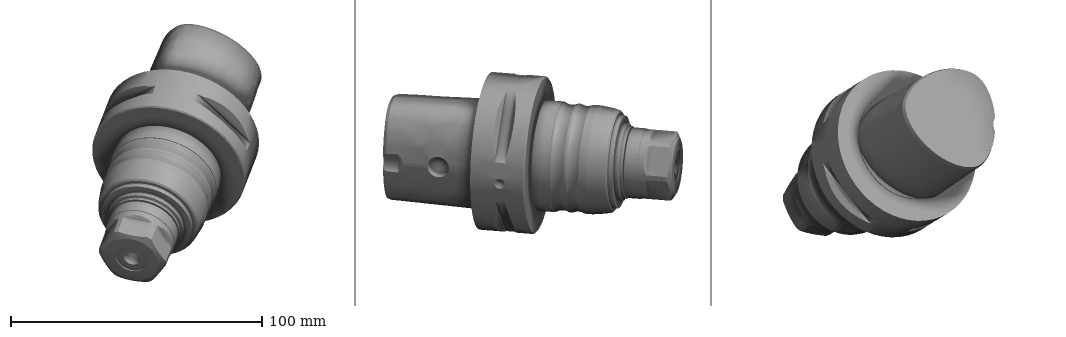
import cadquery as cq
import math


SHANK_LENGTH = 38.0
POLYGON_RADIUS = 22.0
ECCENTRICITY = 1.41
LOBES = 3
OUTLINE_POINTS = 72
TAPER_SLOPE = 1 / 40
TAPER_START = 2.9
LAND_LENGTH = 0.9
NECK_INSET = 0.25
NECK_RADIUS = 22.3
NECK_COLLAR_LENGTH = 0.5
TAIL_CHAMFER_LENGTH = 1.4
TAIL_CHAMFER_INSET = 0.6
DRILL_TIP_HALF_ANGLE = 59.0

TAIL_NOTCH_RADIUS = 6.0
TAIL_NOTCH_WIDTH = 8.1
TAIL_NOTCH_LENGTH = 6.1
TAIL_NOTCH_RUNOUT_ANGLE = 38.0
SIDE_HOLE_DIAMETER = 8.7
SIDE_HOLE_STATION = -15.3
SIDE_HOLE_DEPTH = 5.0

FLANGE_RADIUS = 31.5
FLANGE_LENGTH = 22.0
FLANGE_CHAMFER = 0.5
GROOVE_STATION = 12.0
GROOVE_COUNT = 4
GROOVE_FLOOR_RADIUS = 27.5
GROOVE_FLOOR_WIDTH = 4.2
GROOVE_STRAIGHT_WALL = 1.0
GROOVE_FLARE_ANGLE = 30.0
INDEX_HOLE_DIAMETER = 4.2
INDEX_HOLE_DEPTH = 0.5

FLANGE_NECK_RADIUS = 18.3
SLEEVE_RADIUS = 22.1
SLEEVE_START = 23.0
SLEEVE_END = 29.9
LAND_RADIUS = 21.75
WAIST_RADIUS = 21.1
FIRST_WAIST_START = 30.6
FIRST_WAIST_END = 35.8
SECOND_WAIST_START = 36.9
SECOND_WAIST_END = 41.9
NOSE_START = 45.2
NOSE_MIDDLE = 49.4
NOSE_MIDDLE_RADIUS = 21.2
NOSE_END = 52.6
NOSE_END_RADIUS = 20.5
NOSE_BEVEL = 0.6
NOSE_FACE = 53.2
FIRST_STEP_RADIUS = 18.6
FIRST_STEP_END = 55.1
SECOND_STEP_RADIUS = 15.5
SECOND_STEP_END = 56.8
THIRD_STEP_RADIUS = 14.5
THIRD_STEP_START = 57.2
THIRD_STEP_END = 58.3

NUT_NECK_RADIUS = 10.0
NUT_START = 58.6
NUT_RADIUS = 14.1
NUT_EDGE_CHAMFER = 0.3
NUT_COLLAR_END = 64.1
NUT_BODY_RADIUS = 13.85
NUT_END = 77.71
NUT_FACE_RADIUS = 11.1
NUT_CHAMFER_LENGTH = 1.5
HEX_ACROSS_FLATS = 25.0
HEX_START = 67.9
HEX_SIDES = 6
COLLET_RADIUS = 6.4
COLLET_RECESS = 0.5
BORE_DIAMETER = 6.4
BORE_DEPTH = 10.0

CLEARANCE = 3.0


def drill(diameter, depth, tip_half_angle=DRILL_TIP_HALF_ANGLE):
    """Drill-shaped cutter entering at the origin and pointing to -Z, with a conical tip."""
    radius = diameter / 2
    tip = radius / math.tan(math.radians(tip_half_angle))
    profile = [
        (0, CLEARANCE),
        (radius, CLEARANCE),
        (radius, -depth),
        (0, -depth - tip),
    ]
    return cq.Workplane("XZ").polyline(profile).close().revolve(360, (0, 0, 0), (0, 1, 0))


def polygon_outline(station, radius):
    """Closed three-lobed wire of constant width, with one lobe pointing to +X."""
    points = []
    for i in range(OUTLINE_POINTS):
        angle = math.pi + 2 * math.pi * i / OUTLINE_POINTS
        support = radius + ECCENTRICITY * math.cos(LOBES * angle)
        slope = -LOBES * ECCENTRICITY * math.sin(LOBES * angle)
        x = support * math.cos(angle) - slope * math.sin(angle)
        z = support * math.sin(angle) + slope * math.cos(angle)
        points.append(cq.Vector(x, -station, z))
    return cq.Wire.assembleEdges([cq.Edge.makeSpline(points, periodic=True)])


def polygon_loft(first_station, first_radius, last_station, last_radius):
    """Polygon body between two stations, tapering evenly from one mean radius to the other."""
    first = polygon_outline(first_station, first_radius)
    last = polygon_outline(last_station, last_radius)
    return cq.Workplane("XY").add(cq.Solid.makeLoft([first, last], True))


def make_shank():
    taper_length = SHANK_LENGTH - TAPER_START
    tail_radius = POLYGON_RADIUS - TAPER_SLOPE * taper_length
    chamfer_station = -SHANK_LENGTH + TAIL_CHAMFER_LENGTH
    chamfer_radius = tail_radius + TAPER_SLOPE * TAIL_CHAMFER_LENGTH
    land_end = -TAPER_START + LAND_LENGTH
    neck_end = -NECK_COLLAR_LENGTH
    neck_polygon = POLYGON_RADIUS - NECK_INSET

    tail = polygon_loft(-SHANK_LENGTH, tail_radius - TAIL_CHAMFER_INSET, chamfer_station, chamfer_radius)
    taper = polygon_loft(chamfer_station, chamfer_radius, -TAPER_START, POLYGON_RADIUS)
    land = polygon_loft(-TAPER_START, POLYGON_RADIUS, land_end, POLYGON_RADIUS)
    neck = polygon_loft(land_end, neck_polygon, neck_end, neck_polygon)
    neck_cone = (
        cq.Workplane("XZ", origin=(0, -land_end, 0))
        .circle(neck_polygon + ECCENTRICITY)
        .workplane(offset=neck_end - land_end)
        .circle(NECK_RADIUS)
        .loft(ruled=True)
    )
    shank = tail.union(taper).union(land).union(neck.intersect(neck_cone))

    notch_surface_x = -(chamfer_radius - ECCENTRICITY)
    notch_axis_x = notch_surface_x - math.sqrt(TAIL_NOTCH_RADIUS**2 - (TAIL_NOTCH_WIDTH / 2) ** 2)
    notch = drill(2 * TAIL_NOTCH_RADIUS, TAIL_NOTCH_LENGTH, TAIL_NOTCH_RUNOUT_ANGLE)
    notch = notch.rotate((0, 0, 0), (1, 0, 0), -90)
    shank = shank.cut(notch.translate((notch_axis_x, SHANK_LENGTH, 0)))

    surface_x = -(POLYGON_RADIUS - ECCENTRICITY)
    side_hole = drill(SIDE_HOLE_DIAMETER, SIDE_HOLE_DEPTH).rotate((0, 0, 0), (0, 1, 0), -90)
    return shank.cut(side_hole.translate((surface_x, -SIDE_HOLE_STATION, 0)))


def make_turned_body():
    """Neck collar, flange, sleeve, steps and nut blank as one turned body."""
    first_waist = (FIRST_WAIST_START + FIRST_WAIST_END) / 2
    second_waist = (SECOND_WAIST_START + SECOND_WAIST_END) / 2
    profile = (
        cq.Workplane("XY")
        .moveTo(0, NECK_COLLAR_LENGTH)
        .lineTo(NECK_RADIUS, NECK_COLLAR_LENGTH)
        .lineTo(NECK_RADIUS, 0)
        .lineTo(FLANGE_RADIUS, 0)
        .lineTo(FLANGE_RADIUS, -FLANGE_LENGTH + FLANGE_CHAMFER)
        .lineTo(FLANGE_RADIUS - FLANGE_CHAMFER, -FLANGE_LENGTH)
        .lineTo(FLANGE_NECK_RADIUS, -FLANGE_LENGTH)
        .lineTo(FLANGE_NECK_RADIUS, -SLEEVE_START)
        .lineTo(SLEEVE_RADIUS, -SLEEVE_START)
        .lineTo(SLEEVE_RADIUS, -SLEEVE_END)
        .lineTo(LAND_RADIUS, -SLEEVE_END)
        .lineTo(LAND_RADIUS, -FIRST_WAIST_START)
        .threePointArc((WAIST_RADIUS, -first_waist), (LAND_RADIUS, -FIRST_WAIST_END))
        .lineTo(LAND_RADIUS, -SECOND_WAIST_START)
        .threePointArc((WAIST_RADIUS, -second_waist), (LAND_RADIUS, -SECOND_WAIST_END))
        .lineTo(LAND_RADIUS, -NOSE_START)
        .threePointArc((NOSE_MIDDLE_RADIUS, -NOSE_MIDDLE), (NOSE_END_RADIUS, -NOSE_END))
        .lineTo(NOSE_END_RADIUS - NOSE_BEVEL, -NOSE_FACE)
        .lineTo(FIRST_STEP_RADIUS, -NOSE_FACE)
        .lineTo(FIRST_STEP_RADIUS, -FIRST_STEP_END)
        .lineTo(SECOND_STEP_RADIUS, -FIRST_STEP_END)
        .lineTo(SECOND_STEP_RADIUS, -SECOND_STEP_END)
        .lineTo(THIRD_STEP_RADIUS, -THIRD_STEP_START)
        .lineTo(THIRD_STEP_RADIUS, -THIRD_STEP_END)
        .lineTo(NUT_NECK_RADIUS, -THIRD_STEP_END)
        .lineTo(NUT_NECK_RADIUS, -NUT_START)
        .lineTo(NUT_RADIUS - NUT_EDGE_CHAMFER, -NUT_START)
        .lineTo(NUT_RADIUS, -NUT_START - NUT_EDGE_CHAMFER)
        .lineTo(NUT_RADIUS, -NUT_COLLAR_END)
        .lineTo(NUT_BODY_RADIUS, -NUT_COLLAR_END)
        .lineTo(NUT_BODY_RADIUS, -NUT_END + NUT_CHAMFER_LENGTH)
        .lineTo(NUT_FACE_RADIUS, -NUT_END)
        .lineTo(COLLET_RADIUS, -NUT_END)
        .lineTo(COLLET_RADIUS, -NUT_END + COLLET_RECESS)
        .lineTo(0, -NUT_END + COLLET_RECESS)
        .close()
    )
    return profile.revolve(360, (0, 0, 0), (0, 1, 0))


def cut_gripper_grooves(body):
    """Straight grooves with flaring walls, set diagonally around the flange."""
    flare_radius = GROOVE_FLOOR_RADIUS + GROOVE_STRAIGHT_WALL
    outer_radius = FLANGE_RADIUS + CLEARANCE
    floor_half = GROOVE_FLOOR_WIDTH / 2
    outer_half = floor_half + math.tan(math.radians(GROOVE_FLARE_ANGLE)) * (outer_radius - flare_radius)
    section = [
        (GROOVE_FLOOR_RADIUS, -GROOVE_STATION - floor_half),
        (GROOVE_FLOOR_RADIUS, -GROOVE_STATION + floor_half),
        (flare_radius, -GROOVE_STATION + floor_half),
        (outer_radius, -GROOVE_STATION + outer_half),
        (outer_radius, -GROOVE_STATION - outer_half),
        (flare_radius, -GROOVE_STATION - floor_half),
    ]
    groove = cq.Workplane("XY").polyline(section).close().extrude(FLANGE_RADIUS, both=True)
    pitch = 360 / GROOVE_COUNT
    for i in range(GROOVE_COUNT):
        body = body.cut(groove.rotate((0, 0, 0), (0, 1, 0), pitch * (i + 0.5)))
    return body


def cut_index_hole(body):
    hole = drill(INDEX_HOLE_DIAMETER, INDEX_HOLE_DEPTH).rotate((0, 0, 0), (0, 1, 0), -90)
    return body.cut(hole.translate((-FLANGE_RADIUS, -GROOVE_STATION, 0)))


def cut_hex_flats(body):
    """Wrench flats on the nut, each running out in a 45 degree slope."""
    flat = HEX_ACROSS_FLATS / 2
    outer = flat + CLEARANCE
    section = [
        (flat, -HEX_START),
        (outer, -HEX_START + CLEARANCE),
        (outer, -NUT_END - CLEARANCE),
        (flat, -NUT_END - CLEARANCE),
    ]
    cutter = cq.Workplane("XY").polyline(section).close().extrude(NUT_RADIUS, both=True)
    pitch = 360 / HEX_SIDES
    for i in range(HEX_SIDES):
        body = body.cut(cutter.rotate((0, 0, 0), (0, 1, 0), pitch * (i + 0.5)))
    return body


def cut_collet_bore(body):
    bore = drill(BORE_DIAMETER, BORE_DEPTH).rotate((0, 0, 0), (1, 0, 0), 90)
    return body.cut(bore.translate((0, -NUT_END, 0)))


body = make_turned_body().union(make_shank())
body = cut_gripper_grooves(body)
body = cut_index_hole(body)
body = cut_hex_flats(body)
result = cut_collet_bore(body).solids()